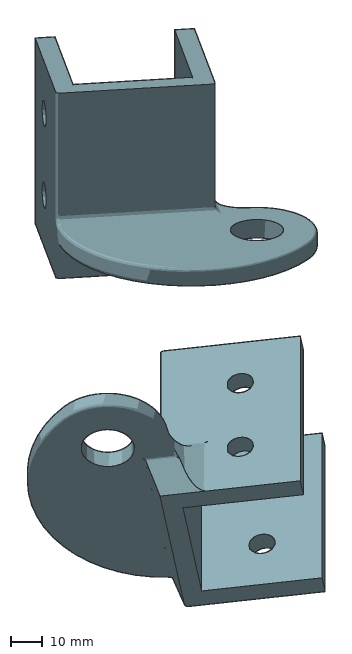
import cadquery as cq
import math

HEIGHT = 63.5
CHANNEL_WIDTH = 50.8
ARM_LENGTH = 44.7
WALL = 6.3
TURN_ANGLE = 30

ARM_HOLE_DIAMETER = 8.3
ARM_HOLE_SPACING = 27.9
ARM_HOLE_FROM_TIP = 19.1

PLATE_BOTTOM = 12.8
PLATE_THICKNESS = WALL
PLATE_TOP = PLATE_BOTTOM + PLATE_THICKNESS
SWEEP_RADIUS = 43.0
EYE_RADIUS = 19.0
EYE_HOLE_DIAMETER = 16.7
EYE_X = 61.7
NECK_RADIUS = 11.0

GUSSET_DRAFT = 17.4

EDGE_ROUND = 1.2
PLATE_FILLET = 2.6

MARGIN = 10.2
TOLERANCE = 0.1

SWEEP_CENTER = (SWEEP_RADIUS, 0)
EYE_CENTER = (
    EYE_X,
    -math.sqrt((SWEEP_RADIUS - EYE_RADIUS) ** 2 - (EYE_X - SWEEP_RADIUS) ** 2),
)
NECK_X = CHANNEL_WIDTH + NECK_RADIUS
NECK_CENTER = (
    NECK_X,
    EYE_CENTER[1] + math.sqrt((EYE_RADIUS + NECK_RADIUS) ** 2 - (NECK_X - EYE_X) ** 2),
)


def direction(start, end):
    """Angle in radians of the line from start to end."""
    return math.atan2(end[1] - start[1], end[0] - start[0])


def on_circle(center, radius, angle):
    return (center[0] + radius * math.cos(angle), center[1] + radius * math.sin(angle))


def footprint(bottom, height):
    """Prism of the combined outline of the channel and the lug plate."""
    sweep_end = direction(SWEEP_CENTER, EYE_CENTER)
    eye_end = direction(EYE_CENTER, NECK_CENTER)
    neck_start = eye_end - math.pi
    neck_end = -math.pi
    return (
        cq.Workplane("XY", origin=(0, 0, bottom))
        .moveTo(0, 0)
        .threePointArc(
            on_circle(SWEEP_CENTER, SWEEP_RADIUS, (sweep_end - math.pi) / 2),
            on_circle(SWEEP_CENTER, SWEEP_RADIUS, sweep_end),
        )
        .threePointArc(
            on_circle(EYE_CENTER, EYE_RADIUS, (sweep_end + eye_end) / 2),
            on_circle(EYE_CENTER, EYE_RADIUS, eye_end),
        )
        .threePointArc(
            on_circle(NECK_CENTER, NECK_RADIUS, (neck_start + neck_end) / 2),
            on_circle(NECK_CENTER, NECK_RADIUS, neck_end),
        )
        .lineTo(CHANNEL_WIDTH, ARM_LENGTH)
        .lineTo(0, ARM_LENGTH)
        .close()
        .extrude(height)
    )


def block(x_range, y_range, z_range):
    """Box given by its start and end along each axis."""
    spans = (x_range, y_range, z_range)
    size = [end - start for start, end in spans]
    corner = tuple(start for start, end in spans)
    return cq.Workplane("XY").box(*size, centered=False).translate(corner)


def make_foot():
    """Solid foot of the channel, from the ground to the plate underside."""
    return block((0, CHANNEL_WIDTH), (0, ARM_LENGTH), (0, PLATE_BOTTOM))


def make_upper():
    """Plate and solid upper channel, filleted together and trimmed to the footprint."""
    tower = block((-MARGIN, CHANNEL_WIDTH), (0, ARM_LENGTH), (PLATE_BOTTOM, HEIGHT))
    plate = block(
        (-MARGIN, EYE_X + EYE_RADIUS + MARGIN),
        (-SWEEP_RADIUS - MARGIN, ARM_LENGTH + MARGIN),
        (PLATE_BOTTOM, PLATE_TOP),
    )
    wall_foot = cq.selectors.BoxSelector(
        (-MARGIN, -TOLERANCE, PLATE_TOP - TOLERANCE),
        (CHANNEL_WIDTH + TOLERANCE, ARM_LENGTH - TOLERANCE, PLATE_TOP + TOLERANCE),
    )
    blended = tower.union(plate).edges(wall_foot).fillet(PLATE_FILLET)
    return blended.intersect(footprint(PLATE_BOTTOM, HEIGHT - PLATE_BOTTOM))


def make_gusset():
    """Flare of the back wall and right arm, trimmed to the footprint."""
    flare = PLATE_BOTTOM * math.tan(math.radians(GUSSET_DRAFT))
    far_y = (NECK_CENTER[1] + ARM_LENGTH) / 2

    def add_section(plane, offset):
        right_x = CHANNEL_WIDTH + offset
        corners = [(-MARGIN, -offset), (right_x, -offset), (right_x, far_y), (-MARGIN, far_y)]
        return plane.polyline(corners).close()

    foot = add_section(cq.Workplane("XY"), 0)
    flared = add_section(foot.workplane(offset=PLATE_BOTTOM), flare).loft(ruled=True)
    return flared.intersect(footprint(0, PLATE_BOTTOM))


def round_edges(body):
    """Round the back wall corners, the plate rim and the gusset edges."""
    wall_corners = cq.selectors.BoxSelector(
        (-TOLERANCE, -TOLERANCE, PLATE_TOP + MARGIN),
        (CHANNEL_WIDTH + TOLERANCE, TOLERANCE, HEIGHT - MARGIN),
    )
    plate_underside = cq.selectors.BoxSelector(
        (-MARGIN, -SWEEP_RADIUS - MARGIN, PLATE_BOTTOM - TOLERANCE),
        (EYE_X + EYE_RADIUS + MARGIN, ARM_LENGTH, PLATE_BOTTOM + TOLERANCE),
    )
    gusset_left = cq.selectors.BoxSelector(
        (-EDGE_ROUND, -WALL, TOLERANCE),
        (EDGE_ROUND, -TOLERANCE, PLATE_BOTTOM - TOLERANCE),
    )
    return body.edges(wall_corners + plate_underside + gusset_left).fillet(EDGE_ROUND)


def make_channel_opening():
    return block((WALL, CHANNEL_WIDTH - WALL), (WALL, ARM_LENGTH), (0, HEIGHT))


def make_arm_holes():
    """Pair of bores along X through both arms."""
    hole_y = ARM_LENGTH - ARM_HOLE_FROM_TIP
    heights = [HEIGHT / 2 + side * ARM_HOLE_SPACING / 2 for side in (-1, 1)]
    return (
        cq.Workplane("YZ")
        .pushPoints([(hole_y, height) for height in heights])
        .circle(ARM_HOLE_DIAMETER / 2)
        .extrude(CHANNEL_WIDTH)
    )


def make_eye_hole():
    return (
        cq.Workplane("XY", origin=(*EYE_CENTER, PLATE_BOTTOM))
        .circle(EYE_HOLE_DIAMETER / 2)
        .extrude(PLATE_THICKNESS)
    )


part = make_upper().union(make_foot()).union(make_gusset())
part = round_edges(part.cut(make_channel_opening()))
part = part.cut(make_arm_holes()).cut(make_eye_hole())
result = part.rotate((0, 0, 0), (0, 0, 1), TURN_ANGLE)